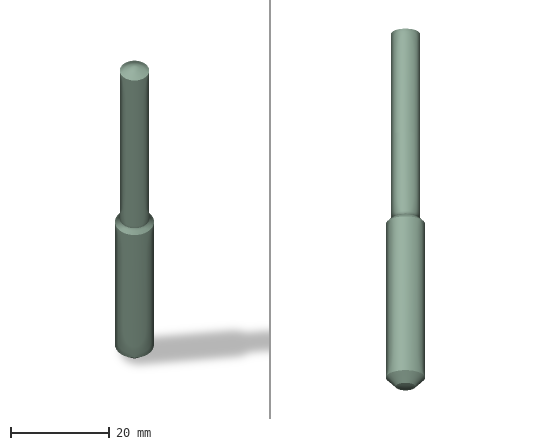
import cadquery as cq
import math

total_length = 79.0
shank_diameter = 8.0
cutting_diameter = 6.0
shoulder_height = 37.0
joint_height = 55.15
end_chamfer = 2.0
point_angle = 140.0

shank_radius = shank_diameter / 2
cutting_radius = cutting_diameter / 2
shoulder_drop = shank_radius - cutting_radius
point_height = cutting_radius / math.tan(math.radians(point_angle / 2))


def revolve_profile(points):
    """Turn a closed (radius, height) outline around the Z axis."""
    return cq.Workplane("XZ").polyline(points).close().revolve(360, (0, 0), (0, 1))


def make_shank():
    """Chamfered shank with a conical shoulder and a thinner neck."""
    return revolve_profile([
        (0, 0),
        (shank_radius - end_chamfer, 0),
        (shank_radius, end_chamfer),
        (shank_radius, shoulder_height - shoulder_drop),
        (cutting_radius, shoulder_height),
        (cutting_radius, joint_height),
        (0, joint_height),
    ])


def make_cutting_body():
    """Cylindrical cutting body with a conical point, seated on the neck."""
    return revolve_profile([
        (0, joint_height),
        (cutting_radius, joint_height),
        (cutting_radius, total_length - point_height),
        (0, total_length),
    ])


shank = make_shank()
cutting_body = make_cutting_body()

result = cq.Compound.makeCompound([shank.val(), cutting_body.val()])